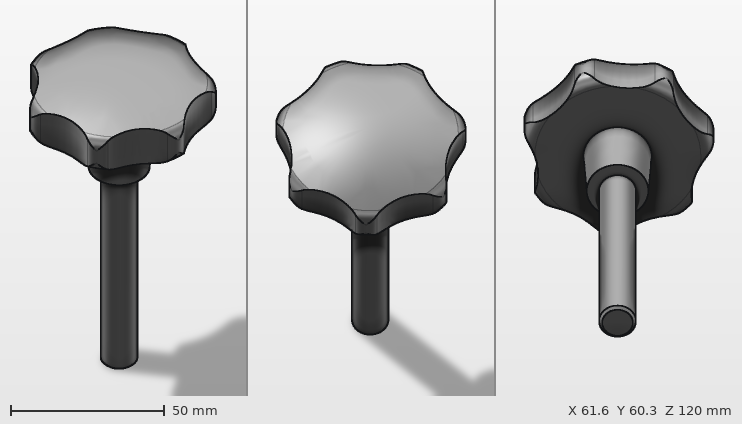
import cadquery as cq
import math

stud_length = 80.0
hub_height = 21.0
knob_top = 40.0

stud_radius = 6.0
stud_chamfer = 1.0

hub_bottom_radius = 10.0
hub_draft_angle = 3.0
hub_top_radius = hub_bottom_radius + hub_height * math.tan(math.radians(hub_draft_angle))

lobe_count = 7
head_radius = 31.5
lobe_radius = 4.5
valley_radius = 26.3
rim_fillet = 4.5
dome_radius = 80.0
first_lobe_angle = -90.0

prism_overrun = 1.0


def polar(radius, angle):
    """Point at a radius and an angle in degrees."""
    radians = math.radians(angle)
    return (radius * math.cos(radians), radius * math.sin(radians))


def make_head_blank():
    """Revolved head: flat underside, rounded rim and a dome tangent to the rim."""
    rim_centre_r = head_radius - rim_fillet
    dome_centre_z = knob_top - dome_radius
    centre_distance = dome_radius - rim_fillet
    upper_rim_z = dome_centre_z + math.sqrt(centre_distance**2 - rim_centre_r**2)
    lower_rim_z = hub_height + rim_fillet

    dome_edge_angle = math.degrees(math.acos(rim_centre_r / centre_distance))
    dome_mid_angle = (dome_edge_angle + 90.0) / 2
    rim_mid_angle = dome_edge_angle / 2

    def on_rim(centre_z, angle):
        r, z = polar(rim_fillet, angle)
        return (rim_centre_r + r, centre_z + z)

    def on_dome(angle):
        r, z = polar(dome_radius, angle)
        return (r, dome_centre_z + z)

    profile = (
        cq.Workplane("XZ")
        .moveTo(0, hub_height)
        .lineTo(rim_centre_r, hub_height)
        .threePointArc(on_rim(lower_rim_z, -45), (head_radius, lower_rim_z))
        .lineTo(head_radius, upper_rim_z)
        .threePointArc(on_rim(upper_rim_z, rim_mid_angle), on_dome(dome_edge_angle))
        .threePointArc(on_dome(dome_mid_angle), (0, knob_top))
        .close()
    )
    return profile.revolve(360, (0, 0, 0), (0, 1, 0))


def make_star_prism():
    """Upright prism with convex lobes joined tangentially by concave valleys."""
    pitch = 360.0 / lobe_count
    lobe_centre_r = head_radius - lobe_radius

    cos_half = math.cos(math.radians(pitch / 2))
    scallop_radius = (
        valley_radius**2 + lobe_centre_r**2 - lobe_radius**2
        - 2 * valley_radius * lobe_centre_r * cos_half
    ) / (2 * (lobe_radius + lobe_centre_r * cos_half - valley_radius))
    scallop_centre_r = valley_radius + scallop_radius

    scallop_x, scallop_y = polar(scallop_centre_r, pitch / 2)
    share = lobe_radius / (lobe_radius + scallop_radius)
    tangent_x = lobe_centre_r + share * (scallop_x - lobe_centre_r)
    tangent_y = share * scallop_y
    tangent_r = math.hypot(tangent_x, tangent_y)
    tangent_angle = math.degrees(math.atan2(tangent_y, tangent_x))

    outline = (
        cq.Workplane("XY")
        .workplane(offset=hub_height - prism_overrun)
        .moveTo(*polar(tangent_r, first_lobe_angle - tangent_angle))
    )
    for index in range(lobe_count):
        axis = first_lobe_angle + index * pitch
        outline = outline.threePointArc(
            polar(head_radius, axis), polar(tangent_r, axis + tangent_angle)
        ).threePointArc(
            polar(valley_radius, axis + pitch / 2),
            polar(tangent_r, axis + pitch - tangent_angle),
        )
    return outline.close().extrude(knob_top - hub_height + 2 * prism_overrun)


def make_stem():
    """Tapered hub and chamfered stud as one revolved solid."""
    profile = (
        cq.Workplane("XZ")
        .moveTo(0, -stud_length)
        .lineTo(stud_radius - stud_chamfer, -stud_length)
        .lineTo(stud_radius, -stud_length + stud_chamfer)
        .lineTo(stud_radius, 0)
        .lineTo(hub_bottom_radius, 0)
        .lineTo(hub_top_radius, hub_height)
        .lineTo(0, hub_height)
        .close()
    )
    return profile.revolve(360, (0, 0, 0), (0, 1, 0))


head = make_head_blank().intersect(make_star_prism())
result = head.union(make_stem())